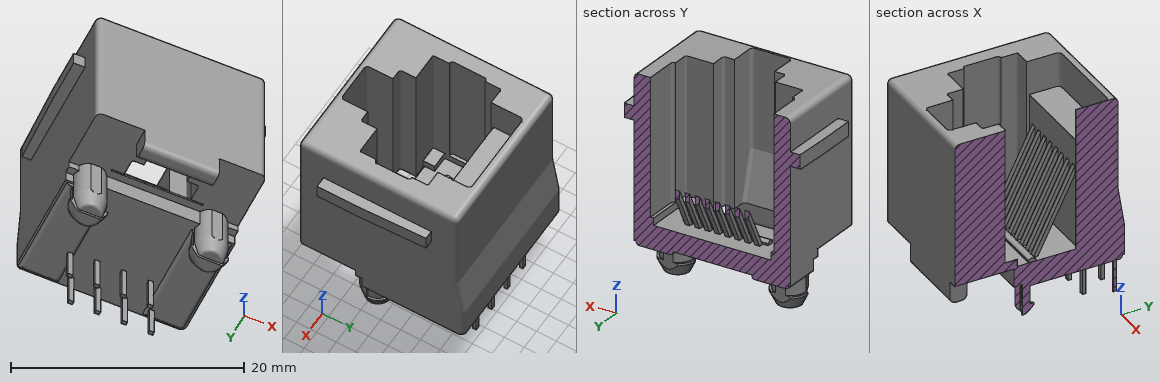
import cadquery as cq
import math


body_width = 16.02
body_depth = 16.0
base_depth = 16.64
seat = 0.0
body_top = 16.57
body_bottom = 0.37
rear_slope_top = 7.37
rear_slope_bottom = 3.43
edge_radius = 0.56

front_underside = 2.18
front_relief_depth = 5.78
side_step_underside = 1.45
side_step_depth = 6.43
side_step_inner_x = 5.7

rib_width = 7.1
rib_depth = 1.65
rib_bottom_radius = 0.55
foot_inner_x = 4.0
foot_outer_x = 7.8
foot_front = 6.6
foot_back = 16.44
foot_radius = 0.36

wing_span = 18.16
wing_back_span = 17.72
wing_front = 2.57
wing_bend = 6.65
wing_back = 13.43
wing_bottom = 11.95
wing_height = 1.42

cavity_width = 11.94
cavity_front = 4.97
cavity_back = 11.83
cavity_radius = 0.15
ledge_back = 6.14
ledge_top = 3.1
throat_width = 8.68
throat_back = 12.08
floor_front = 5.1
floor_top = 2.4
upper_shelf_back = 15.1
upper_shelf_top = body_top - 3.41
upper_shelf_radius = 0.38
recess_width = 12.58
recess_front = 6.6
recess_back = 10.22
recess_radius = 0.28

key_width = 6.33
key_front = 3.35
key_radius = 0.25
latch_width = 4.1
latch_front = 0.64
latch_ramp_foot = 1.88
latch_ramp_angle = 14.8
latch_radius = 0.35

contact_count = 8
contact_pitch = 1.016
wire_width = 0.46
contact_thickness = 0.4
contact_angle = 63.2
contact_top = body_top - 6.1
ridge_back = 7.96
ridge_crest = 7.7
ridge_back_height = 0.2
ridge_radius = 0.35

pin_pitch = 1.27
pin_thickness = 0.35
pin_tip = -3.13
pin_rows = (13.19, 15.71)

peg_x = 5.73
peg_y = 6.65
peg_radius = 1.58
peg_flat = 1.5
peg_tip = -3.24
peg_tip_radius = 1.16
peg_tip_rounding = 0.3
cone_top = -1.58
barb_radius = 1.785
barb_top = -1.79
barb_cone_top = -2.0

overlap = 0.5
above_top = body_top + overlap


def block(width, y_min, y_max, z_min, z_max, x_mid=0.0):
    """Box of the given width centred on x_mid."""
    box = cq.Workplane("XY").box(width, y_max - y_min, z_max - z_min, centered=(True, False, False))
    return box.translate((x_mid, y_min, z_min))


def side_prism(points, width, x_mid=0.0):
    """Prism of a closed (y, z) outline, extruded along X and centred on x_mid."""
    prism = cq.Workplane("YZ").polyline(points).close().extrude(width / 2, both=True)
    return prism.translate((x_mid, 0, 0))


def make_shell():
    """Housing block with the sloping rear wall, rounded everywhere except around the underside."""
    outline = [
        (0, body_bottom),
        (base_depth, body_bottom),
        (base_depth, rear_slope_bottom),
        (body_depth, rear_slope_top),
        (body_depth, body_top),
        (0, body_top),
    ]
    shell = side_prism(outline, body_width)
    return shell.edges("((not |X) or >Z) and (not <Z)").fillet(edge_radius)


def cut_front_relief(shell):
    """Raise the underside at the front, with a further step beside each peg."""
    below = body_bottom - overlap
    shell = shell.cut(block(body_width, 0, front_relief_depth, below, front_underside))
    step_width = body_width / 2 - side_step_inner_x
    for side in (-1, 1):
        x_mid = side * (side_step_inner_x + step_width / 2)
        step = block(step_width, 0, side_step_depth, below, side_step_underside, x_mid)
        shell = shell.cut(step)
    return shell


def make_rib():
    rib = block(rib_width, 0, rib_depth, seat, front_underside + overlap)
    return rib.edges("|X and <Z").fillet(rib_bottom_radius)


def make_foot(side):
    width = foot_outer_x - foot_inner_x
    x_mid = side * (foot_inner_x + foot_outer_x) / 2
    foot = block(width, foot_front, foot_back, seat, body_bottom + overlap, x_mid)
    return foot.edges("<Z and (not <Y)").fillet(foot_radius)


def make_wings():
    half = wing_span / 2
    half_back = wing_back_span / 2
    outline = [
        (-half, wing_front),
        (half, wing_front),
        (half, wing_bend),
        (half_back, wing_back),
        (-half_back, wing_back),
        (-half, wing_bend),
    ]
    wings = cq.Workplane("XY").polyline(outline).close().extrude(wing_height)
    return wings.translate((0, 0, wing_bottom))


def make_latch_slot():
    """Innermost key slot; its front wall leans inward towards the underside."""
    ramp_height = (latch_ramp_foot - latch_front) / math.tan(math.radians(latch_ramp_angle))
    outline = [
        (floor_front, above_top),
        (latch_front, above_top),
        (latch_front, front_underside + ramp_height),
        (latch_ramp_foot, front_underside),
        (latch_ramp_foot, seat),
        (floor_front, seat),
    ]
    slot = side_prism(outline, latch_width)
    return slot.edges("(not |X) and (not |Y) and (not >Y)").fillet(latch_radius)


def make_cavity(y_min, z_min):
    cavity = block(cavity_width, y_min, cavity_back, z_min, above_top)
    return cavity.edges("|Z").fillet(cavity_radius)


def make_shelf_pocket():
    pocket = block(throat_width, cavity_back, upper_shelf_back, upper_shelf_top, above_top)
    return pocket.edges("|Z and >Y").fillet(upper_shelf_radius)


def make_side_recesses():
    recesses = block(recess_width, recess_front, recess_back, ledge_top, above_top)
    return recesses.edges("|Z").fillet(recess_radius)


def make_key_slot():
    slot = block(key_width, key_front, floor_front, seat, above_top)
    return slot.edges("|Z and <Y").fillet(key_radius)


def make_opening():
    """Everything removed for the plug and its latch."""
    opening = make_cavity(cavity_front, ledge_top)
    opening = opening.union(make_cavity(ledge_back, floor_top))
    opening = opening.union(make_shelf_pocket())
    opening = opening.union(make_side_recesses())
    opening = opening.union(block(throat_width, floor_front, throat_back, floor_top, above_top))
    opening = opening.union(block(throat_width, cavity_front, floor_front, seat, above_top))
    opening = opening.union(make_key_slot())
    return opening.union(make_latch_slot())


def make_contact(x):
    """Flat wire sloping from the rear wall of the throat down into its floor."""
    slope = math.tan(math.radians(contact_angle))
    drop = contact_thickness / math.cos(math.radians(contact_angle))
    run = (contact_top - floor_top) / slope
    root_y = throat_back + overlap
    root_z = contact_top + overlap * slope
    end_y = throat_back - run - overlap
    end_z = floor_top - overlap * slope
    outline = [
        (root_y, root_z),
        (end_y, end_z),
        (end_y, end_z - drop),
        (root_y, root_z - drop),
    ]
    return side_prism(outline, wire_width, x)


def make_ridge():
    """Low ridge whose top falls to the rear, square to the contacts, and is rounded at the front."""
    tilt = math.radians(90 - contact_angle)
    back_z = floor_top + ridge_back_height
    crest_z = back_z + (ridge_back - ridge_crest) * math.tan(tilt)
    front_y = ridge_crest - ridge_radius * (math.sin(tilt) + math.cos(tilt))
    front_z = crest_z - ridge_radius * (math.cos(tilt) - math.sin(tilt))
    root_z = floor_top - overlap / 2
    ridge = (
        cq.Workplane("YZ")
        .moveTo(ridge_back, root_z)
        .lineTo(ridge_back, back_z)
        .lineTo(ridge_crest, crest_z)
        .tangentArcPoint((front_y, front_z), relative=False)
        .lineTo(front_y, root_z)
        .close()
    )
    return ridge.extrude(throat_width / 2, both=True)


def make_pin(x, y):
    half = pin_thickness / 2
    return block(wire_width, y - half, y + half, pin_tip, body_bottom + overlap, x)


def make_turned_peg(head_radius, head_top, taper_top, top):
    """Round peg on the Z axis: shank, wider or equal head below head_top, then a tapered tip."""
    outline = [(0, top), (peg_radius, top)]
    if head_radius > peg_radius:
        outline += [(peg_radius, head_top), (head_radius, head_top)]
    outline += [(head_radius, taper_top), (peg_tip_radius, peg_tip), (0, peg_tip)]
    peg = cq.Workplane("XZ").polyline(outline).close().revolve(360, (0, 0, 0), (0, 1, 0))
    return peg.edges("<Z").fillet(peg_tip_rounding)


def make_peg(x):
    """Peg split across Y: a plain front half and a barbed rear half, each with an outer flat."""
    front_top = front_underside + overlap
    rear_top = body_bottom + overlap
    width = 2 * barb_radius + overlap
    front_half = make_turned_peg(peg_radius, cone_top, cone_top, front_top)
    front_side = block(width, -peg_flat, side_step_depth - peg_y, peg_tip, front_top)
    rear_half = make_turned_peg(barb_radius, barb_top, barb_cone_top, rear_top)
    rear_side = block(width, foot_front - peg_y, peg_flat, peg_tip, rear_top)
    peg = front_half.intersect(front_side).union(rear_half.intersect(rear_side))
    return peg.translate((x, peg_y, 0))


def centred_positions(count, pitch):
    return [(i - (count - 1) / 2) * pitch for i in range(count)]


jack = cut_front_relief(make_shell())
jack = jack.union(make_wings())
jack = jack.union(make_rib())
for side in (-1, 1):
    jack = jack.union(make_foot(side))
    jack = jack.union(make_peg(side * peg_x))
jack = jack.cut(make_opening())
jack = jack.union(make_ridge())

for x in centred_positions(contact_count, contact_pitch):
    jack = jack.union(make_contact(x))

for index, x in enumerate(centred_positions(contact_count, pin_pitch)):
    jack = jack.union(make_pin(x, pin_rows[index % len(pin_rows)]))

result = jack